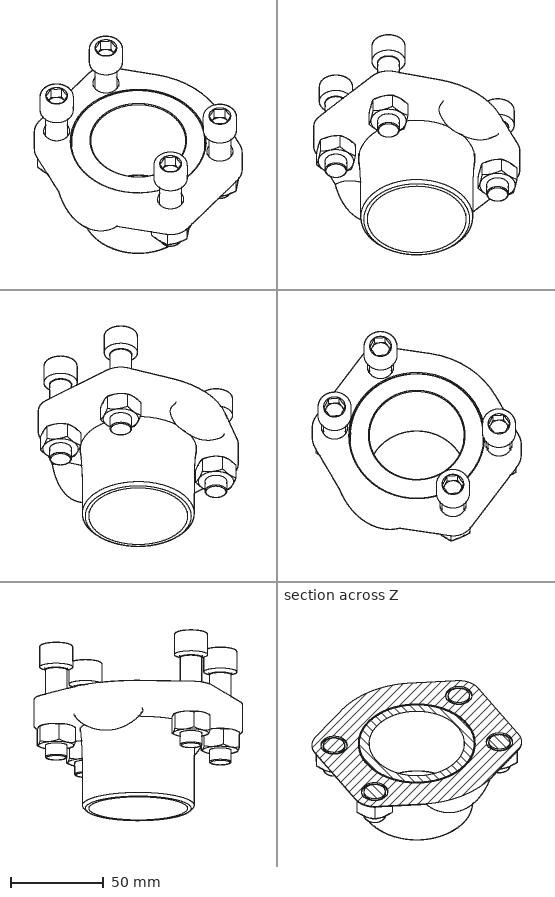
import cadquery as cq
import math


flange_length = 102.0
flange_width = 97.0
flange_thickness = 16.0
flange_edge_fillet = 1.0
bolt_spacing_x = 77.9
bolt_spacing_y = 42.9
bolt_hole_diameter = 14.0
head_recess_diameter = 72.2
neck_hole_diameter = 62.7
recess_chamfer = 0.5

lug_radius = 25.0
lug_depth = 26.0
lug_start_radius = 15.0
lug_start_y = 30.3
lug_knee_radius = 23.2
lug_knee_y = 38.4
lug_rim_min_y = 40.8

stub_head_diameter = 71.4
stub_head_thickness = 10.0
stub_protrusion = 0.7
stub_head_fillet = stub_protrusion
stub_bore_diameter = 51.0
stub_bore_chamfer = 0.5
neck_diameter = 62.0
pipe_outer_diameter = 60.3
pipe_inner_diameter = 53.1
cone_top_z = -16.4
cone_bottom_z = -33.4
stub_bottom_z = -59.5
pipe_end_chamfer = 1.6

screw_diameter = 11.7
screw_length = 50.2
screw_end_chamfer = 0.5
head_diameter = 18.0
head_height = 11.8
head_top_z = 29.2
head_edge_fillet = 1.0
under_head_fillet = 1.0
shoulder_diameter = 12.0
shoulder_length = 1.4
shoulder_taper_length = 0.3
socket_width = 10.0
socket_depth = 7.1
socket_turn = 40.0
socket_chamfer_diameter = 11.7
socket_tip_angle = 120.0

nut_width = 19.2
nut_height = 10.0
nut_chamfer_diameter = 19.0
nut_chamfer_angle = 30.0

head_recess_depth = stub_head_thickness - stub_protrusion
corner_radius = (flange_length - bolt_spacing_x) / 2
hex_corner_ratio = 1 / math.cos(math.radians(30))
bolt_points = [
    (side_x * bolt_spacing_x / 2, side_y * bolt_spacing_y / 2)
    for side_x in (-1, 1)
    for side_y in (-1, 1)
]


def flange_prism(bottom_z, top_z):
    """Flange outline, with straight flanks tangent to the side arcs and the corner arcs."""
    side_radius = flange_width / 2
    bolt_x = bolt_spacing_x / 2
    bolt_y = bolt_spacing_y / 2
    flank_angle = math.atan2(bolt_y, bolt_x) + math.acos(
        (side_radius - corner_radius) / math.hypot(bolt_x, bolt_y)
    )

    def on_corner(angle):
        return bolt_x + corner_radius * math.cos(angle), bolt_y + corner_radius * math.sin(angle)

    side_x = side_radius * math.cos(flank_angle)
    side_y = side_radius * math.sin(flank_angle)
    corner_x, corner_y = on_corner(flank_angle)
    middle_x, middle_y = on_corner(flank_angle / 2)
    end_x = flange_length / 2
    return (
        cq.Workplane("XY", origin=(0, 0, bottom_z))
        .moveTo(end_x, -bolt_y)
        .lineTo(end_x, bolt_y)
        .threePointArc((middle_x, middle_y), (corner_x, corner_y))
        .lineTo(side_x, side_y)
        .threePointArc((0, side_radius), (-side_x, side_y))
        .lineTo(-corner_x, corner_y)
        .threePointArc((-middle_x, middle_y), (-end_x, bolt_y))
        .lineTo(-end_x, -bolt_y)
        .threePointArc((-middle_x, -middle_y), (-corner_x, -corner_y))
        .lineTo(-side_x, -side_y)
        .threePointArc((0, -side_radius), (side_x, -side_y))
        .lineTo(corner_x, -corner_y)
        .threePointArc((middle_x, -middle_y), (end_x, -bolt_y))
        .close()
        .extrude(top_z - bottom_z)
    )


def make_lug():
    """Round boss along +Y that narrows inwards, trimmed to the flange outline and kept below its top."""
    axis_z = lug_radius - lug_depth
    outer_y = flange_width / 2
    boss = (
        cq.Workplane("XY")
        .moveTo(0, lug_start_y)
        .lineTo(lug_start_radius, lug_start_y)
        .spline(
            [(lug_knee_radius, lug_knee_y), (lug_radius, outer_y)],
            tangents=[(1, 1), (0, 1)],
            includeCurrent=True,
        )
        .lineTo(0, outer_y)
        .close()
        .revolve(360, (0, 0, 0), (0, 1, 0))
        .translate((0, 0, axis_z))
    )
    outline = flange_prism(axis_z - 2 * lug_radius, axis_z + 2 * lug_radius)
    rim_zone = cq.selectors.BoxSelector(
        (-lug_radius, lug_rim_min_y, axis_z - lug_radius),
        (lug_radius, outer_y, axis_z + lug_radius),
    )
    lug = boss.intersect(outline).edges(rim_zone).fillet(flange_edge_fillet)
    return lug.intersect(flange_prism(-lug_depth, -flange_edge_fillet))


def flange_bore():
    """Stepped bore for the stub: neck hole, head recess and a chamfer at the recess mouth."""
    recess_radius = head_recess_diameter / 2
    return (
        cq.Workplane("XZ")
        .moveTo(0, 0)
        .lineTo(recess_radius + recess_chamfer, 0)
        .lineTo(recess_radius, -recess_chamfer)
        .lineTo(recess_radius, -head_recess_depth)
        .lineTo(neck_hole_diameter / 2, -head_recess_depth)
        .lineTo(neck_hole_diameter / 2, -lug_depth)
        .lineTo(0, -lug_depth)
        .close()
        .revolve(360, (0, 0, 0), (0, 1, 0))
    )


def make_flange():
    """Plate with rounded rims, two lugs, the stub bore and four screw holes."""
    plate = flange_prism(-flange_thickness, 0).faces("<Z or >Z").edges().fillet(flange_edge_fillet)
    lug = make_lug()
    screw_holes = (
        cq.Workplane("XY").pushPoints(bolt_points).circle(bolt_hole_diameter / 2).extrude(-flange_thickness)
    )
    return plate.union(lug).union(lug.mirror("XZ")).cut(flange_bore()).cut(screw_holes).solids()


def make_stub():
    """Pipe stub: head, neck, outer cone down to the pipe, and a bore that widens to the pipe's inside."""
    head_top = stub_protrusion
    head_radius = stub_head_diameter / 2
    neck_radius = neck_diameter / 2
    pipe_radius = pipe_outer_diameter / 2
    inner_radius = pipe_inner_diameter / 2
    bore_radius = stub_bore_diameter / 2
    return (
        cq.Workplane("XZ")
        .moveTo(bore_radius + stub_bore_chamfer, head_top)
        .lineTo(head_radius - stub_head_fillet, head_top)
        .radiusArc((head_radius, head_top - stub_head_fillet), stub_head_fillet)
        .lineTo(head_radius, -head_recess_depth)
        .lineTo(neck_radius, -head_recess_depth)
        .lineTo(neck_radius, cone_top_z)
        .lineTo(pipe_radius, cone_bottom_z)
        .lineTo(pipe_radius, stub_bottom_z + pipe_end_chamfer)
        .lineTo(pipe_radius - pipe_end_chamfer, stub_bottom_z)
        .lineTo(inner_radius, stub_bottom_z)
        .lineTo(inner_radius, cone_bottom_z)
        .lineTo(bore_radius, cone_top_z)
        .lineTo(bore_radius, head_top - stub_bore_chamfer)
        .close()
        .revolve(360, (0, 0, 0), (0, 1, 0))
    )


def cone_cutter(diameter, tip_angle, top_z):
    """Cone on the Z axis that points down from a circle at the given height."""
    depth = diameter / 2 / math.tan(math.radians(tip_angle / 2))
    return cq.Workplane(cq.Solid.makeCone(0, diameter / 2, depth, pnt=cq.Vector(0, 0, top_z - depth)))


def make_screw():
    """Screw with a filleted, slightly thicker shank under its head and a cone at the socket floor."""
    head_radius = head_diameter / 2
    screw_radius = screw_diameter / 2
    shoulder_radius = shoulder_diameter / 2
    head_bottom = head_top_z - head_height
    shoulder_bottom = head_bottom - shoulder_length
    tip = head_bottom - screw_length
    outline = (
        cq.Workplane("XZ")
        .moveTo(0, head_top_z)
        .lineTo(head_radius - head_edge_fillet, head_top_z)
        .radiusArc((head_radius, head_top_z - head_edge_fillet), head_edge_fillet)
        .lineTo(head_radius, head_bottom)
        .lineTo(shoulder_radius + under_head_fillet, head_bottom)
        .radiusArc((shoulder_radius, head_bottom - under_head_fillet), -under_head_fillet)
        .lineTo(shoulder_radius, shoulder_bottom)
        .lineTo(screw_radius, shoulder_bottom - shoulder_taper_length)
        .lineTo(screw_radius, tip + screw_end_chamfer)
        .lineTo(screw_radius - screw_end_chamfer, tip)
        .lineTo(0, tip)
        .close()
    )
    screw = outline.revolve(360, (0, 0, 0), (0, 1, 0))

    socket_floor = head_top_z - socket_depth
    socket = (
        cq.Workplane("XY", origin=(0, 0, socket_floor))
        .transformed(rotate=(0, 0, socket_turn))
        .polygon(6, socket_width * hex_corner_ratio)
        .extrude(socket_depth)
    )
    floor_cone = cone_cutter(socket_width, socket_tip_angle, socket_floor)
    rim_cone = cone_cutter(socket_chamfer_diameter, socket_tip_angle, head_top_z)
    return screw.cut(socket).cut(floor_cone).cut(rim_cone).solids()


def make_nut():
    """Hexagon nut against the plate's underside, with its corners turned off at both ends."""
    top = -flange_thickness
    bottom = top - nut_height
    hexagon = (
        cq.Workplane("XY", origin=(0, 0, bottom))
        .polygon(6, nut_width * hex_corner_ratio)
        .circle(screw_diameter / 2)
        .extrude(nut_height)
    )
    face_radius = nut_chamfer_diameter / 2
    corner_reach = nut_width * hex_corner_ratio / 2
    drop = (corner_reach - face_radius) * math.tan(math.radians(nut_chamfer_angle))
    turned_blank = (
        cq.Workplane("XZ")
        .moveTo(0, bottom)
        .lineTo(face_radius, bottom)
        .lineTo(corner_reach, bottom + drop)
        .lineTo(corner_reach, top - drop)
        .lineTo(face_radius, top)
        .lineTo(0, top)
        .close()
        .revolve(360, (0, 0, 0), (0, 1, 0))
    )
    return hexagon.intersect(turned_blank).solids()


flange = make_flange()
stub = make_stub()
screws = []
nuts = []
for x, y in bolt_points:
    screws.append(make_screw().translate((x, y, 0)))
    nuts.append(make_nut().translate((x, y, 0)))

result = cq.Compound.makeCompound(
    [
        flange.val(),
        stub.val(),
        *[screw.val() for screw in screws],
        *[nut.val() for nut in nuts],
    ]
)